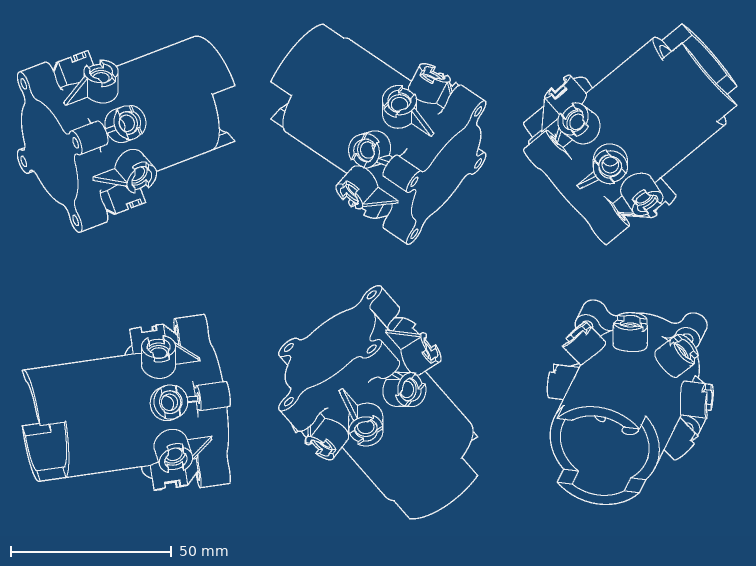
import cadquery as cq
import math

TUBE_LENGTH = 59.05
TUBE_RADIUS = 17.55
BORE_DIAMETER = 28.45
BORE_RADIUS = BORE_DIAMETER / 2
FLOOR_THICKNESS = TUBE_RADIUS - BORE_RADIUS
END_SLOT_DEPTH = 8.2
END_SLOT_WIDTH = 23.0

PORT_COUNT = 8
PORT_Y = 18.5
PORT_SPAN = 50.6
PORT_TIP_RADIUS = PORT_SPAN / 2
PORT_DIAMETER = 10.6
PORT_HOLE_DIAMETER = 5.1
PORT_COUNTERBORE_DIAMETER = 7.1
PORT_COUNTERBORE_DEPTH = 2.8
PORT_NOTCH_DEPTH = 1.7
PORT_NOTCH_WIDTH = 4.85

RIB_THICKNESS = 1.5

EAR_COUNT = 4
FIRST_EAR_ANGLE = 45.0
EAR_HEIGHT = 9.35
EAR_OFFSET = 16.05
EAR_RADIUS = 3.95
EAR_FILLET_RADIUS = 3.3
EAR_HOLE_DIAMETER = 3.4
EAR_CENTRE_RADIUS = EAR_OFFSET * math.sqrt(2)


def along_y(radius, start, end):
    """Solid cylinder on the tube axis between two Y positions."""
    return cq.Workplane("XZ", origin=(0, start, 0)).circle(radius).extrude(start - end)


def around_tube(shape, count, first_angle):
    """Copies of a shape made at +Z, turned about the tube axis."""
    step = 360.0 / count
    return [shape.rotate((0, 0, 0), (0, 1, 0), first_angle + i * step) for i in range(count)]


def port_cylinder(diameter, inner, outer):
    """Cylinder on the axis of the +Z port, between two distances from the tube axis."""
    return cq.Workplane("XY", origin=(0, PORT_Y, inner)).circle(diameter / 2).extrude(outer - inner)


def make_port():
    """Boss with a gusset rib, standing inward as far as the middle of the tube wall."""
    wall_middle = (TUBE_RADIUS + BORE_RADIUS) / 2
    boss = port_cylinder(PORT_DIAMETER, wall_middle, PORT_TIP_RADIUS)
    notch = cq.Workplane("XY", origin=(0, PORT_Y, PORT_TIP_RADIUS)).box(
        PORT_DIAMETER, PORT_NOTCH_WIDTH, 2 * PORT_NOTCH_DEPTH
    )
    rib_top_y = PORT_Y - PORT_DIAMETER / 2
    rib_run = PORT_TIP_RADIUS - wall_middle
    rib = (
        cq.Workplane("YZ")
        .moveTo(PORT_Y, wall_middle)
        .lineTo(rib_top_y - rib_run, wall_middle)
        .lineTo(rib_top_y, PORT_TIP_RADIUS)
        .lineTo(PORT_Y, PORT_TIP_RADIUS - PORT_NOTCH_DEPTH)
        .close()
        .extrude(RIB_THICKNESS / 2, both=True)
    )
    return boss.union(rib).cut(notch)


def make_port_bore():
    """Stepped hole through a port and the tube wall."""
    ledge = PORT_TIP_RADIUS - PORT_COUNTERBORE_DEPTH
    hole = port_cylinder(PORT_HOLE_DIAMETER, 0, PORT_TIP_RADIUS)
    return hole.union(port_cylinder(PORT_COUNTERBORE_DIAMETER, ledge, PORT_TIP_RADIUS))


def make_ear():
    """Ear at +Z: a round head blended into the tube by a concave arc on each side."""
    head_reach = EAR_RADIUS + EAR_FILLET_RADIUS
    tube_reach = TUBE_RADIUS + EAR_FILLET_RADIUS
    blend_z = (tube_reach**2 - head_reach**2 + EAR_CENTRE_RADIUS**2) / (2 * EAR_CENTRE_RADIUS)
    blend_x = math.sqrt(tube_reach**2 - blend_z**2)
    tube_x = blend_x * TUBE_RADIUS / tube_reach
    tube_z = blend_z * TUBE_RADIUS / tube_reach
    head_x = blend_x * EAR_RADIUS / head_reach
    head_z = EAR_CENTRE_RADIUS + (blend_z - EAR_CENTRE_RADIUS) * EAR_RADIUS / head_reach
    head_angle = math.atan2(EAR_CENTRE_RADIUS - blend_z, blend_x)
    tube_angle = math.atan2(blend_z, blend_x)
    middle = math.pi + (tube_angle - head_angle) / 2
    blend_middle_x = blend_x + EAR_FILLET_RADIUS * math.cos(middle)
    blend_middle_z = blend_z + EAR_FILLET_RADIUS * math.sin(middle)
    return (
        cq.Workplane("XZ")
        .moveTo(-tube_x, tube_z)
        .threePointArc((-blend_middle_x, blend_middle_z), (-head_x, head_z))
        .threePointArc((0, EAR_CENTRE_RADIUS + EAR_RADIUS), (head_x, head_z))
        .threePointArc((blend_middle_x, blend_middle_z), (tube_x, tube_z))
        .lineTo(0, BORE_RADIUS)
        .close()
        .extrude(-EAR_HEIGHT)
    )


def make_ear_hole():
    """Screw hole through the ear at +Z."""
    return (
        cq.Workplane("XZ", origin=(0, 0, EAR_CENTRE_RADIUS))
        .circle(EAR_HOLE_DIAMETER / 2)
        .extrude(-EAR_HEIGHT)
    )


def make_housing():
    """Tube with its ports and ears, bored, drilled and slotted across the open end."""
    housing = along_y(TUBE_RADIUS, 0, TUBE_LENGTH)
    for port in around_tube(make_port(), PORT_COUNT, 0):
        housing = housing.union(port)
    for ear in around_tube(make_ear(), EAR_COUNT, FIRST_EAR_ANGLE):
        housing = housing.union(ear)
    housing = housing.cut(along_y(BORE_RADIUS, FLOOR_THICKNESS, TUBE_LENGTH))
    for bore in around_tube(make_port_bore(), PORT_COUNT, 0):
        housing = housing.cut(bore)
    for hole in around_tube(make_ear_hole(), EAR_COUNT, FIRST_EAR_ANGLE):
        housing = housing.cut(hole)
    end_slot = cq.Workplane("XY", origin=(0, TUBE_LENGTH, 0)).box(
        2 * TUBE_RADIUS, 2 * END_SLOT_DEPTH, END_SLOT_WIDTH
    )
    return housing.cut(end_slot)


housing = make_housing()
result = cq.Compound.makeCompound([housing.val()])